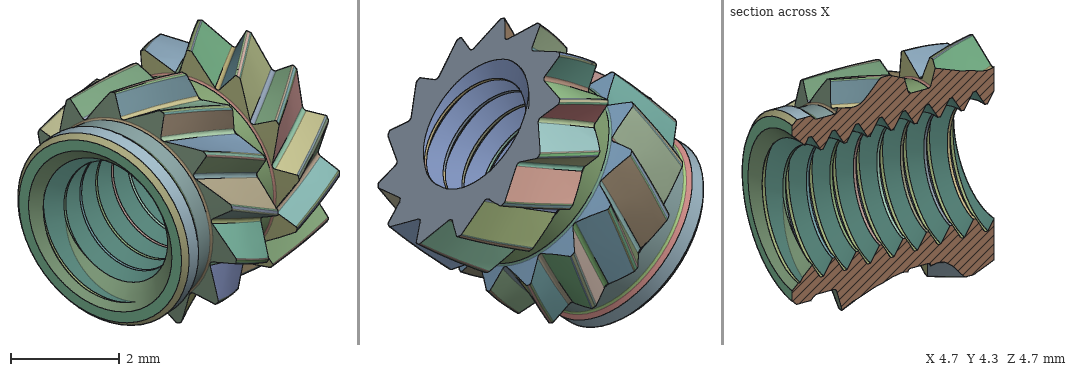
import cadquery as cq
import math


length = 4.3
neck_radius = 1.85
pilot_radius = 1.95
pilot_length = 0.4
pilot_chamfer = 0.1
pilot_fillet = 0.08
neck_fillet = 0.045

front_ring_start = 0.935
front_ring_end = 2.49
rear_ring_start = 2.94
ring_end_angle = 15.0

tooth_count = 13
knurl_radius = 2.35
valley_radius = 1.865
valley_fillet = 0.08
crest_width_angle = 2.6
crest_fillet = 0.04
steep_flank_angle = 7.8
twist_rate = 13.2
front_crest_angle = 174.95
rear_crest_angle = 182.3

thread_pitch = 0.5
thread_crest_radius = 1.172
thread_root_radius = 1.5
thread_root_width = thread_pitch / 8
thread_flank_slope = math.tan(math.radians(30))
thread_phase = 0.137 - thread_pitch / 4
countersink_radius = 1.63
sleeve_radius = 1.7

overlap = 0.03
cone_slope = math.tan(math.radians(ring_end_angle))
ring_cone_length = (knurl_radius - neck_radius) * cone_slope


def polar(radius, degrees):
    angle = math.radians(degrees)
    return cq.Vector(radius * math.cos(angle), radius * math.sin(angle), 0)


def revolve_profile(points):
    """Turn a closed (radius, z) outline about the Z axis."""
    return cq.Workplane("XZ").polyline(points).close().revolve(360, (0, 0), (0, 1))


def circle_at(z):
    """Selector for the circular edge at height z."""
    reach = 2 * knurl_radius
    tolerance = 0.001
    return cq.selectors.BoxSelector(
        (-reach, -reach, z - tolerance), (reach, reach, z + tolerance)
    )


def make_turned_body():
    """Plain turned body with rounded necks and unknurled rings, before the bore."""
    ring_radius = knurl_radius + overlap
    ring_cone = (ring_radius - neck_radius) * cone_slope
    pilot_end = pilot_length + pilot_radius - neck_radius
    body = revolve_profile(
        [
            (0, 0),
            (pilot_radius - pilot_chamfer, 0),
            (pilot_radius, pilot_chamfer),
            (pilot_radius, pilot_length),
            (neck_radius, pilot_end),
            (neck_radius, front_ring_start),
            (ring_radius, front_ring_start + ring_cone),
            (ring_radius, front_ring_end - ring_cone),
            (neck_radius, front_ring_end),
            (neck_radius, rear_ring_start),
            (ring_radius, rear_ring_start + ring_cone),
            (ring_radius, length),
            (0, length),
        ]
    )
    body = body.edges(circle_at(pilot_end)).fillet(pilot_fillet)
    for corner in (front_ring_start, front_ring_end, rear_ring_start):
        body = body.edges(circle_at(corner)).fillet(neck_fillet)
    return body


def knurl_outline(crest_angle, hand):
    """Closed saw-tooth wire; hand is +1 or -1 and sets the side of the steep flanks."""
    pitch_angle = 360 / tooth_count
    half_crest = crest_width_angle / 2
    points = []
    for tooth in range(tooth_count):
        middle = crest_angle + hand * tooth * pitch_angle
        points.append(polar(knurl_radius, middle - hand * half_crest))
        points.append(polar(knurl_radius, middle + hand * half_crest))
        points.append(polar(valley_radius, middle + hand * steep_flank_angle))
    outline = cq.Wire.makePolygon(points, close=True)

    middle_radius = (knurl_radius + valley_radius) / 2
    corners = outline.Vertices()
    crests = [v for v in corners if math.hypot(v.X, v.Y) > middle_radius]
    outline = outline.fillet2D(crest_fillet, crests)
    valleys = [v for v in outline.Vertices() if math.hypot(v.X, v.Y) < middle_radius]
    return outline.fillet2D(valley_fillet, valleys)


def make_knurl_cutter(start, end, crest_angle, hand):
    """Waste around the helical teeth of the ring between start and end."""
    start_angle = crest_angle - hand * twist_rate * ring_cone_length
    first_angle = start_angle - hand * twist_rate * overlap
    height = end - start + 2 * overlap
    teeth = cq.Solid.extrudeLinearWithRotation(
        knurl_outline(first_angle, hand),
        [],
        cq.Vector(0, 0, 0),
        cq.Vector(0, 0, height),
        hand * twist_rate * height,
    )
    sleeve = cq.Workplane("XY").circle(knurl_radius + 2 * overlap).extrude(height)
    return sleeve.cut(cq.Workplane(teeth)).translate((0, 0, start - overlap))


def make_countersink():
    """45 degree cone at the pilot end, run past the end face and into the bore."""
    depth = countersink_radius - thread_crest_radius + overlap
    return revolve_profile(
        [
            (0, -overlap),
            (countersink_radius + overlap, -overlap),
            (countersink_radius - depth, depth),
            (0, depth),
        ]
    )


def make_thread_groove():
    """Helical V groove with a narrow flat root, bounded by ruled faces between helices."""
    start = thread_phase - thread_pitch
    inner_radius = thread_crest_radius - overlap
    half_root = thread_root_width / 2
    half_mouth = half_root + (thread_root_radius - inner_radius) * thread_flank_slope
    height = length + 2 * thread_pitch
    section = [
        (inner_radius, start - half_mouth),
        (thread_root_radius, start - half_root),
        (thread_root_radius, start + half_root),
        (inner_radius, start + half_mouth),
    ]
    helices = []
    for radius, z in section:
        helices.append(cq.Wire.makeHelix(thread_pitch, height, radius, cq.Vector(0, 0, z)))

    faces = []
    for index, helix in enumerate(helices):
        faces.append(cq.Face.makeRuledSurface(helix, helices[(index + 1) % len(helices)]))
    for ends in ([h.startPoint() for h in helices], [h.endPoint() for h in helices]):
        faces.append(cq.Face.makeFromWires(cq.Wire.makePolygon(ends, close=True)))
    return cq.Workplane(cq.Solid.makeSolid(cq.Shell.makeShell(faces)))


def make_knurled_shell():
    """Outside of the insert, with a plain hole in place of the threaded sleeve."""
    shell = make_turned_body().cut(cq.Workplane("XY").circle(sleeve_radius).extrude(length))
    shell = shell.cut(make_knurl_cutter(front_ring_start, front_ring_end, front_crest_angle, 1))
    return shell.cut(make_knurl_cutter(rear_ring_start, length, rear_crest_angle, -1))


def make_threaded_sleeve():
    """Inside of the insert: a tube with the countersink and the thread cut into it."""
    countersink = make_countersink()
    tube = cq.Workplane("XY").circle(sleeve_radius).circle(thread_crest_radius).extrude(length)
    return tube.cut(countersink).cut(make_thread_groove().cut(countersink))


def is_sleeve_wall(face):
    """True for the cylinder on which the knurled shell and the threaded sleeve touch."""
    if face.geomType() != "CYLINDER":
        return False
    tolerance = 1e-6
    circles = [e for e in face.Edges() if e.geomType() == "CIRCLE"]
    return any(abs(circle.radius() - sleeve_radius) < tolerance for circle in circles)


def join_at_sleeve_wall(outside, inside):
    """Drop the shared wall of two nested parts and sew their other faces into one solid."""
    faces = outside.faces().vals() + inside.faces().vals()
    skin = [face for face in faces if not is_sleeve_wall(face)]
    return cq.Workplane(cq.Solid.makeSolid(cq.Shell.makeShell(skin)).clean())


body = join_at_sleeve_wall(make_knurled_shell(), make_threaded_sleeve())
result = body.rotate((0, 0, 0), (1, 0, 0), -90)